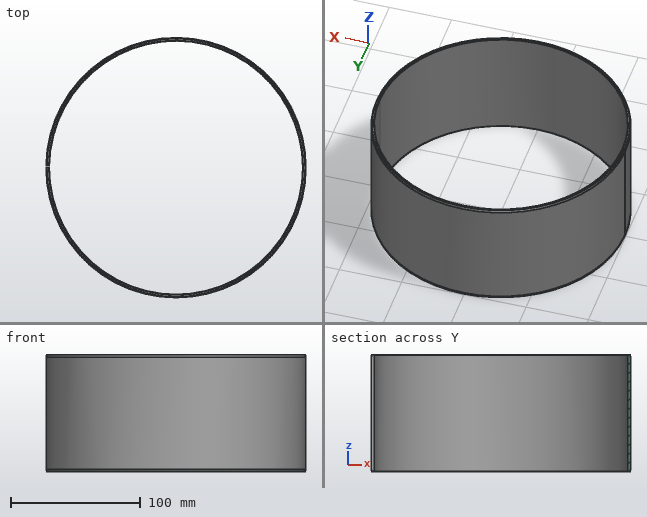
import cadquery as cq

outer_diameter = 200.0
height = 90.0
inner_diameter = 195.0
slit_width = 1.5

chamfer_length = 1.8
chamfer_depth = 0.65

bore_bevel = 0.5

outer_radius = outer_diameter / 2
inner_radius = inner_diameter / 2


def make_sleeve():
    """Revolve the wall section, with its rim corners bevelled, about Z."""
    rim_radius = outer_radius - chamfer_depth
    section = [
        (inner_radius, bore_bevel),
        (inner_radius + bore_bevel, 0),
        (rim_radius, 0),
        (outer_radius, chamfer_length),
        (outer_radius, height - chamfer_length),
        (rim_radius, height),
        (inner_radius + bore_bevel, height),
        (inner_radius, height - bore_bevel),
    ]
    return cq.Workplane("XZ").polyline(section).close().revolve(360, (0, 0), (0, 1))


def make_slit():
    """Full-height cutter through the wall on the -X side, with one face on the XZ plane."""
    cutter = cq.Workplane("XY").box(outer_radius, slit_width, height, centered=False)
    return cutter.translate((-outer_radius, 0, 0))


result = make_sleeve().cut(make_slit())